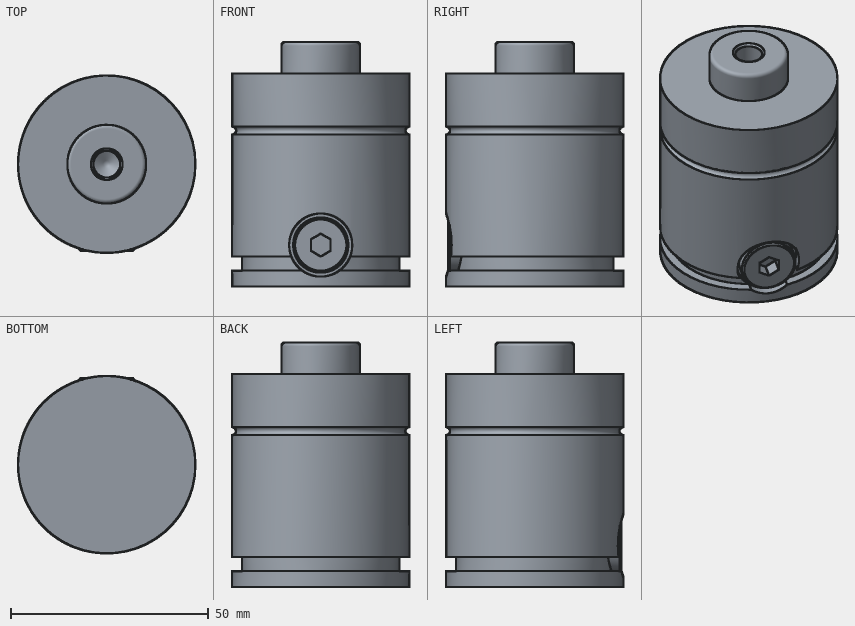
import cadquery as cq
import math

BODY_RADIUS = 22.5
BODY_HEIGHT = 54.0

BASE_FLANGE_HEIGHT = 4.0
RETAINING_GROOVE_WIDTH = 3.6
RETAINING_GROOVE_DEPTH = 2.5

ROUND_GROOVE_RADIUS = 1.0
ROUND_GROOVE_BELOW_TOP = 14.5

ROD_RADIUS = 10.0
ROD_HEIGHT = 8.0
ROD_FILLET = 1.0

HOLE_DRILL_RADIUS = 3.4
HOLE_MOUTH_RADIUS = 4.0
HOLE_DEPTH = 14.0
DRILL_POINT_ANGLE = 118.0

PORT_HEIGHT = 10.5
COUNTERBORE_RADIUS = 8.0
COUNTERBORE_DEPTH = 4.5
PLUG_RADIUS = 7.0
PLUG_CHAMFER = 0.5
PLUG_RECESS = 0.5
HEX_ACROSS_FLATS = 5.0
HEX_DEPTH = 4.0

ROD_TOP = BODY_HEIGHT + ROD_HEIGHT
COUNTERBORE_FLOOR_Y = COUNTERBORE_DEPTH - BODY_RADIUS
PLUG_FACE_Y = PLUG_RECESS - BODY_RADIUS


def port_plane(y):
    """Plane across the port axis at the given Y, with its normal pointing out along -Y."""
    return cq.Workplane("XZ", origin=(0, y, PORT_HEIGHT))


def make_body():
    body = cq.Workplane("XY").circle(BODY_RADIUS).extrude(BODY_HEIGHT)
    retaining_groove = (
        cq.Workplane("XY", origin=(0, 0, BASE_FLANGE_HEIGHT))
        .circle(BODY_RADIUS + RETAINING_GROOVE_DEPTH)
        .circle(BODY_RADIUS - RETAINING_GROOVE_DEPTH)
        .extrude(RETAINING_GROOVE_WIDTH)
    )
    round_groove = cq.Workplane("XY").add(
        cq.Solid.makeTorus(
            BODY_RADIUS,
            ROUND_GROOVE_RADIUS,
            cq.Vector(0, 0, BODY_HEIGHT - ROUND_GROOVE_BELOW_TOP),
        )
    )
    return body.cut(retaining_groove).cut(round_groove)


def make_rod():
    rod = cq.Workplane("XY", origin=(0, 0, BODY_HEIGHT)).circle(ROD_RADIUS).extrude(ROD_HEIGHT)
    return rod.faces(">Z").edges().fillet(ROD_FILLET)


def make_rod_hole():
    """Revolved cutter: chamfered mouth, drilled wall and conical drill point."""
    chamfer = HOLE_MOUTH_RADIUS - HOLE_DRILL_RADIUS
    wall_bottom = ROD_TOP - HOLE_DEPTH
    point_depth = HOLE_DRILL_RADIUS / math.tan(math.radians(DRILL_POINT_ANGLE / 2))
    return (
        cq.Workplane("XZ")
        .moveTo(0, ROD_TOP)
        .lineTo(HOLE_MOUTH_RADIUS, ROD_TOP)
        .lineTo(HOLE_DRILL_RADIUS, ROD_TOP - chamfer)
        .lineTo(HOLE_DRILL_RADIUS, wall_bottom)
        .lineTo(0, wall_bottom - point_depth)
        .close()
        .revolve(360, (0, 0, 0), (0, 1, 0))
    )


def make_counterbore():
    return port_plane(COUNTERBORE_FLOOR_Y).circle(COUNTERBORE_RADIUS).extrude(2 * COUNTERBORE_DEPTH)


def make_plug():
    length = COUNTERBORE_FLOOR_Y - PLUG_FACE_Y
    plug = port_plane(COUNTERBORE_FLOOR_Y).circle(PLUG_RADIUS).extrude(length)
    return plug.faces("<Y").edges().chamfer(PLUG_CHAMFER)


def make_hex_socket():
    """Hexagon with two corners pointing up and down."""
    across_corners = HEX_ACROSS_FLATS / math.cos(math.pi / 6)
    upright_plane = port_plane(PLUG_FACE_Y).transformed(rotate=(0, 0, 90))
    return upright_plane.polygon(6, across_corners).extrude(-HEX_DEPTH)


result = (
    make_body()
    .union(make_rod())
    .cut(make_rod_hole())
    .cut(make_counterbore())
    .union(make_plug())
    .cut(make_hex_socket())
)